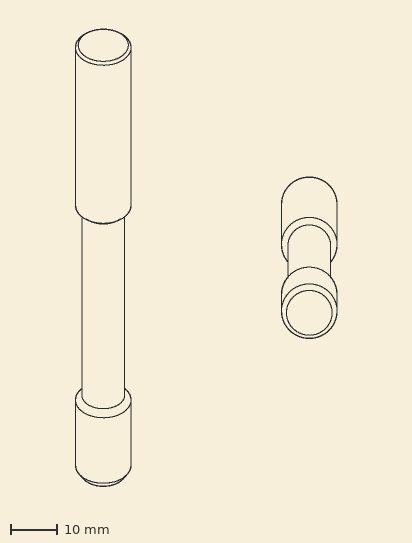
import cadquery as cq

total_length = 120.0
outer_radius = 6.0
shank_radius = 4.62

head_bottom = 73.5
foot_top = 21.6

head_chamfer = 0.6
tip_chamfer_radial = 1.1
tip_chamfer_height = 1.8

shoulder = outer_radius - shank_radius


def revolve_profile(points):
    """Solid of revolution about Z from (radius, height) points."""
    return cq.Workplane("XZ").polyline(points).close().revolve(360, (0, 0), (0, 1))


def make_head():
    """Thick upper cylinder, chamfered on top, with a cone down to the shank."""
    return revolve_profile([
        (0, head_bottom),
        (shank_radius, head_bottom),
        (outer_radius, head_bottom + shoulder),
        (outer_radius, total_length - head_chamfer),
        (outer_radius - head_chamfer, total_length),
        (0, total_length),
    ])


def make_pin():
    """Slender shank with a thick foot, seated against the underside of the head."""
    return revolve_profile([
        (0, 0),
        (outer_radius - tip_chamfer_radial, 0),
        (outer_radius, tip_chamfer_height),
        (outer_radius, foot_top - shoulder),
        (shank_radius, foot_top),
        (shank_radius, head_bottom),
        (0, head_bottom),
    ])


head = make_head()
pin = make_pin()

result = cq.Compound.makeCompound([head.val(), pin.val()])